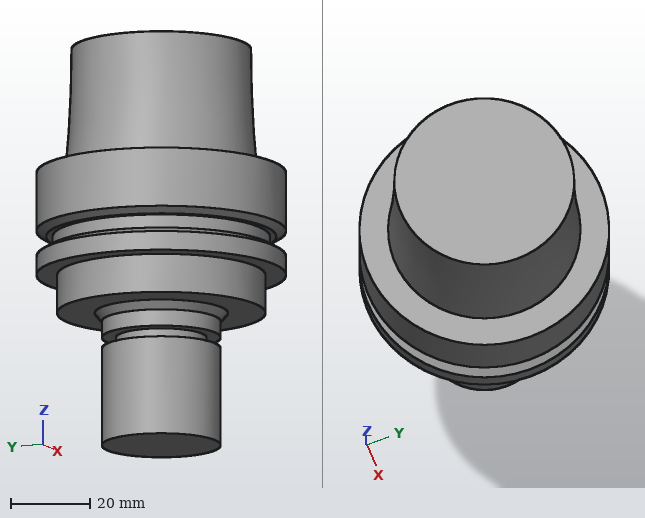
import cadquery as cq
import math

SLEEVE_TOP = 25.0
COLLAR_BOTTOM = 27.7
COLLAR_TOP = 31.9
HUB_BOTTOM = 34.1
FLANGE_BOTTOM = 43.9
GROOVE_MOUTH_BOTTOM = 48.7
GROOVE_MOUTH_TOP = 55.2
FLANGE_TOP = 70.2
TOTAL_HEIGHT = 102.0

SLEEVE_DIAMETER = 30.0
NECK_DIAMETER = 23.0
HUB_DIAMETER = 52.6
FLANGE_DIAMETER = 63.0
GROOVE_DIAMETER = 55.0
SHANK_BASE_DIAMETER = 48.6
SHANK_TOP_DIAMETER = 45.4

COLLAR_FLARE_WIDTH = 1.8
GROOVE_BEVEL_HEIGHT = 1.4
GROOVE_BEVEL_ANGLE = 60.0
GROOVE_BEVEL_WIDTH = GROOVE_BEVEL_HEIGHT * math.tan(math.radians(GROOVE_BEVEL_ANGLE))


def cylinder(diameter, bottom, top):
    """Upright cylinder centred on the Z axis."""
    return cq.Workplane("XY").workplane(offset=bottom).circle(diameter / 2).extrude(top - bottom)


def revolved(profile):
    """Turn a closed radius-height profile about the Z axis."""
    return profile.close().revolve(360, (0, 0, 0), (0, 1, 0))


def make_shank():
    """Tapered shank whose side curves outwards from a vertical tangent at its top."""
    top_radius = SHANK_TOP_DIAMETER / 2
    base_radius = SHANK_BASE_DIAMETER / 2
    length = TOTAL_HEIGHT - FLANGE_TOP
    flare = base_radius - top_radius
    arc_radius = (length**2 + flare**2) / (2 * flare)
    mid_height = TOTAL_HEIGHT - length / 2
    mid_radius = top_radius + arc_radius - math.sqrt(arc_radius**2 - (length / 2) ** 2)
    return revolved(
        cq.Workplane("XZ")
        .moveTo(0, FLANGE_TOP)
        .lineTo(0, TOTAL_HEIGHT)
        .lineTo(top_radius, TOTAL_HEIGHT)
        .threePointArc((mid_radius, mid_height), (base_radius, FLANGE_TOP))
    )


def make_flange():
    """Flange with a gripper groove that is bevelled at both rims."""
    flange_radius = FLANGE_DIAMETER / 2
    groove_radius = GROOVE_DIAMETER / 2
    bevel_radius = flange_radius - GROOVE_BEVEL_WIDTH
    wall_bottom = GROOVE_MOUTH_BOTTOM + GROOVE_BEVEL_HEIGHT
    wall_top = GROOVE_MOUTH_TOP - GROOVE_BEVEL_HEIGHT
    groove = revolved(
        cq.Workplane("XZ")
        .moveTo(flange_radius, GROOVE_MOUTH_BOTTOM)
        .lineTo(bevel_radius, wall_bottom)
        .lineTo(groove_radius, wall_bottom)
        .lineTo(groove_radius, wall_top)
        .lineTo(bevel_radius, wall_top)
        .lineTo(flange_radius, GROOVE_MOUTH_TOP)
    )
    return cylinder(FLANGE_DIAMETER, FLANGE_BOTTOM, FLANGE_TOP).cut(groove)


def make_collar():
    """Collar that flares out where it meets the hub."""
    collar_radius = SLEEVE_DIAMETER / 2
    return revolved(
        cq.Workplane("XZ")
        .moveTo(0, COLLAR_BOTTOM)
        .lineTo(collar_radius, COLLAR_BOTTOM)
        .lineTo(collar_radius, COLLAR_TOP)
        .lineTo(collar_radius + COLLAR_FLARE_WIDTH, HUB_BOTTOM)
        .lineTo(0, HUB_BOTTOM)
    )


def make_holder():
    """Tool holder: shank, flange, hub, collar and neck in one piece."""
    hub = cylinder(HUB_DIAMETER, HUB_BOTTOM, FLANGE_BOTTOM)
    neck = cylinder(NECK_DIAMETER, SLEEVE_TOP, COLLAR_BOTTOM)
    return make_shank().union(make_flange()).union(hub).union(make_collar()).union(neck)


def make_sleeve():
    """Plain round sleeve that meets the lower end of the neck."""
    return cylinder(SLEEVE_DIAMETER, 0, SLEEVE_TOP)


holder = make_holder()
sleeve = make_sleeve()

result = cq.Compound.makeCompound([holder.val(), sleeve.val()])